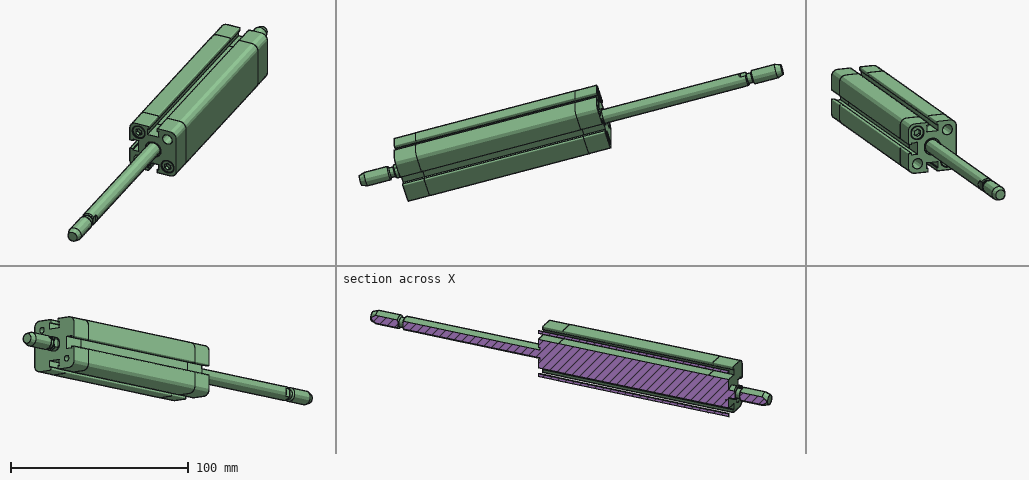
import cadquery as cq
import math

total_length = 247.0
body_length = 118.5
front_reach = 104.5
rear_reach = total_length - body_length - front_reach

body_width = 29.1
corner_radius = 4.0
cap_length = 12.5
cap_inset = 0.07

slot_opening = 5.2
slot_width = 7.0
slot_lip = 2.0
slot_depth = 5.5
slot_edge_round = 0.5

rod_diameter = 8.0
tip_diameter = 5.7
neck_diameter = 5.7
tip_cone_length = 3.2
thread_end = 16.8
thread_chamfer_length = 0.7
neck_end = 20.0
shoulder_chamfer = 0.62
flats_end = 23.5
flats_width = 6.5

rod_recess_diameter = 9.6
rod_recess_depth = 0.7

fixing_pitch = 18.0
fixing_offset = fixing_pitch / 2
mount_bore_diameter = 6.0
mount_bore_depth = 12.5
mount_hole_diameter = 3.2
head_bore_diameter = 8.0
head_bore_depth = 0.7
head_diameter = 7.5
head_height = 0.5
socket_corner_width = 4.2
socket_depth = 2.5


def rod_along_y(diameter, start, length, x=0.0, z=0.0):
    """Round bar of the given length, running toward +Y from Y = start."""
    base = cq.Vector(x, start, z)
    return cq.Workplane(cq.Solid.makeCylinder(diameter / 2, length, base, cq.Vector(0, 1, 0)))


def slotted_bar(inset, start, length):
    """Length of body whose outer faces and slot floors lie the inset below the tube surfaces."""
    width = body_width - 2 * inset
    bar = cq.Workplane("XY").box(width, length, width).translate((0, start + length / 2, 0))
    bar = bar.edges("|Y").fillet(corner_radius - inset)
    for angle in (0, -90, 180):
        slot = t_slot(inset, start, length)
        bar = bar.cut(slot.rotate((0, 0, 0), (0, 1, 0), angle))
    return bar


def t_slot(inset, start, length):
    """Cutter for the slot in the +Z face, with rounded mouth edges."""
    face = body_width / 2 - inset
    floor = face - slot_depth
    lip = face - slot_lip
    mouth = slot_opening / 2
    half_width = slot_width / 2
    middle = slot_edge_round * (1 - math.sqrt(0.5))
    profile = (
        cq.Workplane("XZ", origin=(0, start, 0))
        .moveTo(-half_width, floor)
        .lineTo(half_width, floor)
        .lineTo(half_width, lip)
        .lineTo(mouth, lip)
        .lineTo(mouth, face - slot_edge_round)
        .threePointArc((mouth + middle, face - middle), (mouth + slot_edge_round, face))
        .lineTo(-mouth - slot_edge_round, face)
        .threePointArc((-mouth - middle, face - middle), (-mouth, face - slot_edge_round))
        .lineTo(-mouth, lip)
        .lineTo(-half_width, lip)
        .close()
    )
    return profile.extrude(-length)


def make_body():
    tube_length = body_length - 2 * cap_length
    body = slotted_bar(0, cap_length, tube_length)
    for start in (0, body_length - cap_length):
        body = body.union(slotted_bar(cap_inset, start, cap_length))
    return body


def cut_mount_hole(body, x, z):
    """Through hole with a counterbore in the front cap."""
    body = body.cut(rod_along_y(mount_hole_diameter, 0, body_length, x, z))
    return body.cut(rod_along_y(mount_bore_diameter, 0, mount_bore_depth, x, z))


def add_cap_screw(body, x, z):
    """Socket-head screw sunk in the front cap."""
    body = body.cut(rod_along_y(head_bore_diameter, 0, head_bore_depth, x, z))
    body = body.union(rod_along_y(head_diameter, head_bore_depth - head_height, head_height, x, z))
    socket = cq.Workplane("XZ").polygon(6, socket_corner_width).extrude(-socket_depth)
    socket = socket.rotate((0, 0, 0), (0, 1, 0), 90)
    return body.cut(socket.translate((x, 0, z)))


def rod_profile_end(tip, inward):
    """Half-section points from one tip to the shoulder; inward is the Y direction into the rod."""
    radius = rod_diameter / 2
    steps = [
        (0, 0),
        (tip_diameter / 2, 0),
        (radius, tip_cone_length),
        (radius, thread_end),
        (neck_diameter / 2, thread_end + thread_chamfer_length),
        (neck_diameter / 2, neck_end),
        (radius - shoulder_chamfer, neck_end),
        (radius, neck_end + shoulder_chamfer),
    ]
    return [(r, tip + inward * distance) for r, distance in steps]


def flats_cutter(tip, inward, side):
    """Cuts one wrench flat, with a 45 degree run-out at the end away from the tip."""
    flat = flats_width / 2
    outside = rod_diameter
    points = [
        (flat, neck_end),
        (flat, flats_end),
        (outside, flats_end + outside - flat),
        (outside, neck_end),
    ]
    points = [(side * x, tip + inward * distance) for x, distance in points]
    return cq.Workplane("XY").polyline(points).close().extrude(rod_diameter, both=True)


def make_rod():
    front_end = (-front_reach, 1)
    rear_end = (body_length + rear_reach, -1)
    points = rod_profile_end(*front_end) + rod_profile_end(*rear_end)[::-1]
    rod = cq.Workplane("XY").polyline(points).close().revolve(360, (0, 0, 0), (0, 1, 0))
    for tip, inward in (front_end, rear_end):
        for side in (-1, 1):
            rod = rod.cut(flats_cutter(tip, inward, side))
    return rod


body = make_body()
body = body.cut(rod_along_y(rod_recess_diameter, 0, rod_recess_depth))
for side in (-1, 1):
    body = cut_mount_hole(body, side * fixing_offset, side * fixing_offset)
    body = add_cap_screw(body, side * fixing_offset, -side * fixing_offset)

result = body.union(make_rod())